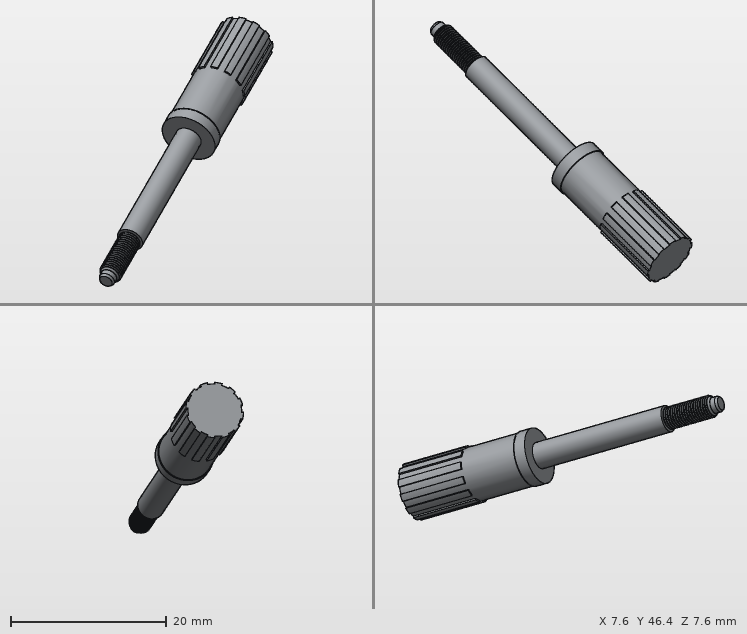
import cadquery as cq
import math

overall_length = 46.4
tip_chamfer_length = 0.32
thread_start = 1.0
collar_start = 27.38
collar_end = 29.05
rib_start = 37.0

tip_radius = 1.05
tip_end_radius = 0.9
lead_in_radius = 1.1
thread_radius = 1.5
shank_radius = 1.75
collar_radius = 3.7
body_radius = 3.55
rib_radius = 3.8

thread_pitch = 0.35
groove_angle = 60
crest_width = thread_pitch / 8
root_width = thread_pitch / 4
groove_width = thread_pitch - crest_width
groove_depth = (groove_width - root_width) / 2 / math.tan(math.radians(groove_angle / 2))
pitch_count = 20
thread_end = thread_start + pitch_count * thread_pitch

rib_count = 12
rib_pitch_angle = 360 / rib_count
rib_angle = rib_pitch_angle / 2


def turned(profile):
    """Solid of revolution about the Y axis from (Y, radius) points."""
    return cq.Workplane("YZ").polyline(profile).close().revolve(360, (0, 0, 0), (1, 0, 0))


def stepped_body():
    """Shank, collar and knob."""
    return turned([
        (thread_end, 0),
        (thread_end, shank_radius),
        (collar_start, shank_radius),
        (collar_start, collar_radius),
        (collar_end, collar_radius),
        (collar_end, body_radius),
        (overall_length, body_radius),
        (overall_length, 0),
    ])


def thread_groove(root):
    """Ring cutter for one groove, its root centred on the given Y."""
    half_root = root_width / 2
    half_width = groove_width / 2
    return turned([
        (root - half_root, thread_radius - groove_depth),
        (root + half_root, thread_radius - groove_depth),
        (root + half_width, thread_radius),
        (root + half_width, shank_radius),
        (root - half_width, shank_radius),
        (root - half_width, thread_radius),
    ])


def threaded_end():
    """Ringed cylinder with a 45 degree lead-in; grooves fall on both ends."""
    lead_in_length = thread_radius - lead_in_radius
    thread = turned([
        (thread_start, 0),
        (thread_start, lead_in_radius),
        (thread_start + lead_in_length, thread_radius),
        (thread_end, thread_radius),
        (thread_end, 0),
    ])
    for index in range(pitch_count + 1):
        thread = thread.cut(thread_groove(thread_start + index * thread_pitch))
    return thread


def tip():
    """Plain round tip with a shallow conical end."""
    return turned([
        (0, 0),
        (0, tip_end_radius),
        (tip_chamfer_length, tip_radius),
        (thread_start, tip_radius),
        (thread_start, 0),
    ])


def grip_rib(start_angle):
    """Ring segment spanning rib_angle; angles run from +X towards +Z."""
    inner_radius = body_radius / 2
    return (
        cq.Workplane("XY")
        .moveTo(inner_radius, rib_start)
        .lineTo(rib_radius, rib_start)
        .lineTo(rib_radius, overall_length)
        .lineTo(inner_radius, overall_length)
        .close()
        .revolve(rib_angle, (0, 0, 0), (0, -1, 0))
        .rotate((0, 0, 0), (0, 1, 0), -start_angle)
    )


result = stepped_body().union(threaded_end()).union(tip())
for index in range(rib_count):
    result = result.union(grip_rib(index * rib_pitch_angle))